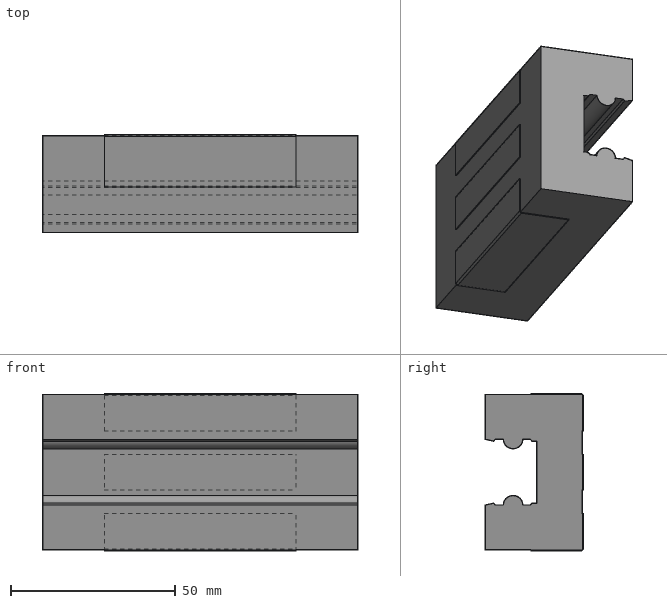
import cadquery as cq
import math

length = 96.0
overall_depth = 29.9
overall_height = 48.0

cover_thickness = 0.3
cover_length = 58.2
cover_reach = 16.0
cover_chamfer = 0.6
back_strip_height = 10.8
back_gap_height = (overall_height - 2 * cover_chamfer - 3 * back_strip_height) / 2

block_depth = overall_depth - cover_thickness
block_height = overall_height - 2 * cover_thickness

slot_depth = 15.7
slot_half_height = 10.0
ridge_half_height = 9.4
lip_peak_y = 2.6
lip_foot_y = 3.1
rear_step_foot_y = 13.7
rear_step_top_y = 14.3

bead_y = 8.5
bead_radius = 3.0
bead_tip_half_height = 7.1


def make_block():
    return cq.Workplane("XY").box(length, block_depth, block_height, centered=(True, False, True))


def make_slot():
    """Full slot: the upper half of its outline mirrored about mid-height."""
    bead_center = bead_tip_half_height + bead_radius
    bead_half_width = math.sqrt(bead_radius**2 - (bead_center - slot_half_height) ** 2)
    return (
        cq.Workplane("YZ", origin=(-length / 2, 0, 0))
        .moveTo(0, 0)
        .lineTo(0, slot_half_height)
        .lineTo(lip_peak_y, ridge_half_height)
        .lineTo(lip_foot_y, slot_half_height)
        .lineTo(bead_y - bead_half_width, slot_half_height)
        .threePointArc((bead_y, bead_tip_half_height), (bead_y + bead_half_width, slot_half_height))
        .lineTo(rear_step_foot_y, slot_half_height)
        .lineTo(rear_step_top_y, ridge_half_height)
        .lineTo(slot_depth, ridge_half_height)
        .lineTo(slot_depth, 0)
        .mirrorX()
        .extrude(length)
    )


def make_cover():
    """Wrap bevelled at its two rear corners, with the gaps between the back strips removed."""
    cover = (
        cq.Workplane("XY", origin=(0, overall_depth - cover_reach, 0))
        .box(cover_length, cover_reach, overall_height, centered=(True, False, True))
        .faces(">Y")
        .edges("|X")
        .chamfer(cover_chamfer)
    )
    gap_offset = (back_strip_height + back_gap_height) / 2
    gap = cq.Workplane("XY", origin=(0, block_depth, 0)).box(
        cover_length, cover_thickness, back_gap_height, centered=(True, False, True)
    )
    for side in (-1, 1):
        cover = cover.cut(gap.translate((0, 0, side * gap_offset)))
    return cover


result = make_block().union(make_cover()).cut(make_slot())